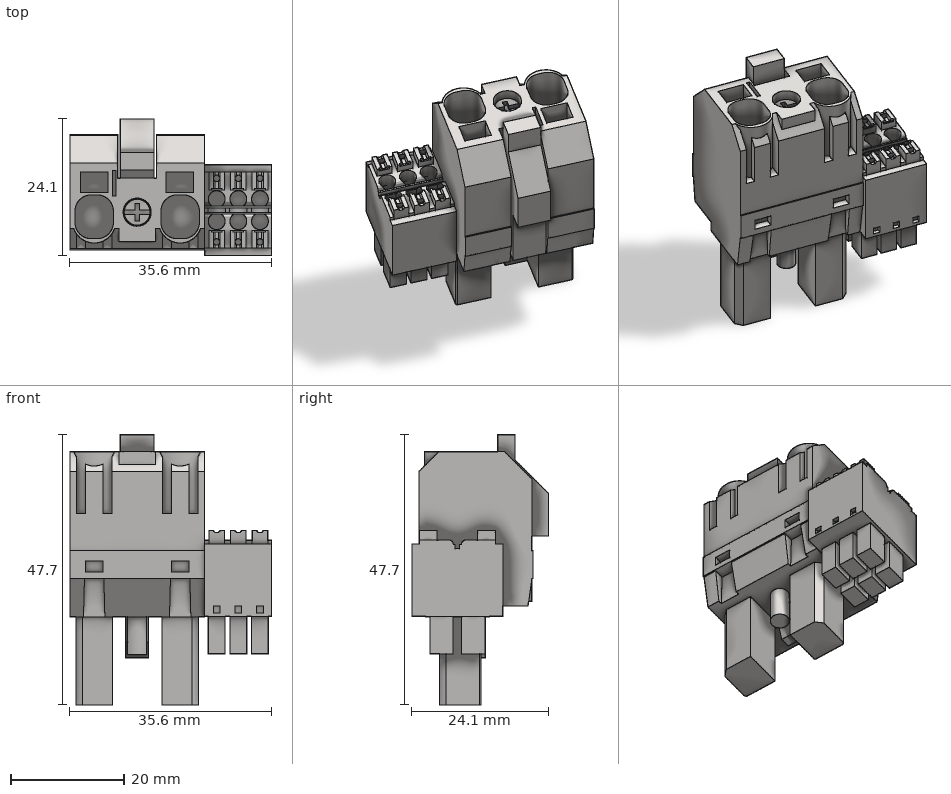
import cadquery as cq


HOUSING_LENGTH = 23.75
HOUSING_DEPTH = 19.95
HOUSING_TOP = 44.7
HOUSING_BOTTOM = 15.55
FRONT_CHAMFER = 3.55
BACK_CHAMFER = 4.8
BAND_TOP = 27.25
BAND_BOTTOM = 22.28
BAND_PROUD = 0.25
FRONT_TAPER = 1.2
BACK_TAPER = 0.65
STEP_Y = 12.45
STEP_BOTTOM = 17.45
HOUSING_MID_X = HOUSING_LENGTH / 2

POLE_OFFSET = 7.6
POLE_CENTRES = (HOUSING_MID_X - POLE_OFFSET, HOUSING_MID_X + POLE_OFFSET)

ENTRY_WIDTH = 6.75
ENTRY_DEPTH_Y = 7.75
ENTRY_CORNER = 2.85
ENTRY_MID_Y = 5.65
ENTRY_BORE_DEPTH = 14.3
COLLAR_WALL = 0.45
COLLAR_FRONT_Y = 1.0
GROOVE_SPAN = 6.2
GROOVE_RIB_WIDTH = 3.05
GROOVE_BOTTOM = 33.75

OPENING_LENGTH = 4.85
OPENING_DEPTH_Y = 3.63
OPENING_MID_Y = 11.75
OPENING_DEPTH = 9.55
OPENING_OFFSET = 7.55

SLOT_LENGTH = 0.6
SLOT_DEPTH_Y = 4.5
SLOT_MID_X = 7.8
SLOT_MID_Y = 11.55
SLOT_DEPTH = 2.4

BLOCK_WIDTH = 6.5
BLOCK_FRONT_Y = 1.3
BLOCK_HEIGHT = 2.85

WINDOW_LENGTH = 3.05
WINDOW_HEIGHT = 1.95
WINDOW_BOTTOM = 23.45
WINDOW_DEPTH = 1.45
RECESS_TOP_WIDTH = 3.45
RECESS_BOTTOM_WIDTH = 3.75
RECESS_BACK_Y = 1.9

PIN_LENGTH = 6.5
PIN_FRONT_Y = 3.63
PIN_BACK_Y = 10.95
PIN_FRONT_CHAMFER = 1.2
PIN_BACK_CHAMFER = 0.3

LATCH_WIDTH = 6.0
LATCH_GAP = 0.4
NOTCH_WIDTH = LATCH_WIDTH + 2 * LATCH_GAP
LATCH_TOP = 47.7
LATCH_FRONT_Y = 13.9
LATCH_HEAD_BACK_Y = 17.0
LATCH_SLOPE_TOP = 43.2
LATCH_BACK_Y = 22.9
LATCH_NOSE_BOTTOM = 29.8
LATCH_BOTTOM = 18.25

PEG_WIDTH = 4.05
PEG_FRONT_Y = 8.82
PEG_BACK_Y = 11.75
PEG_BOTTOM = 8.3
PEG_BEVEL_HEIGHT = 2.85
PEG_BEVEL_DEPTH = 0.95

SCREW_MID_Y = 6.45
SCREW_HOLE_RADIUS = 2.5
SCREW_HEAD_RADIUS = 2.3
SCREW_HEAD_TOP = 42.95
SCREW_HEAD_HEIGHT = 3.8
SCREW_HEAD_SEAT = SCREW_HEAD_TOP - SCREW_HEAD_HEIGHT
SHAFT_RADIUS = 1.65
SCREW_TIP = 8.85
DRIVE_SLOT_WIDTH = 0.8
DRIVE_CROSS_LENGTH = 3.05
DRIVE_DEPTH = 0.95

SIGNAL_LENGTH = 11.85
SIGNAL_FRONT_Y = -1.25
SIGNAL_BACK_Y = 14.85
SIGNAL_BOTTOM = 15.65
SIGNAL_LEDGE = 28.45
SIGNAL_TOP = 29.1
LEDGE_DEPTH = 1.35
SIGNAL_START = HOUSING_LENGTH
SIGNAL_END = SIGNAL_START + SIGNAL_LENGTH
SIGNAL_MID_Y = (SIGNAL_FRONT_Y + SIGNAL_BACK_Y) / 2
SIGNAL_PITCH = 3.8
SIGNAL_MID_X = 29.7
SIGNAL_CENTRES = [SIGNAL_MID_X + step * SIGNAL_PITCH for step in (-1, 0, 1)]

SIGNAL_ENTRY_RADIUS = 1.5
SIGNAL_ENTRY_OFFSET = 1.95
SIGNAL_ENTRY_DEPTH = 3.8

CHANNEL_WIDTH = 0.75
CHANNEL_BOTTOM = 27.55
CHANNEL_WALL = 0.35
SHOULDER_RADIUS = 0.75
CHANNEL_POCKET_LENGTH = 3.05
CHANNEL_POCKET_DEPTH = 0.25
RIDGE_WIDTH = CHANNEL_WIDTH + 2 * CHANNEL_WALL

SIGNAL_WINDOW = 1.2
SIGNAL_WINDOW_BOTTOM = 16.25
SIGNAL_WINDOW_DEPTH = 0.7

SIGNAL_PIN_LENGTH = 3.0
SIGNAL_PIN_DEPTH_Y = 4.1
SIGNAL_PIN_OFFSET = 2.8
SIGNAL_PIN_BOTTOM = 9.0

BUTTON_LENGTH = 2.75
BUTTON_TOP = 30.8
BUTTON_BOTTOM = 26.25
BUTTON_OUTER_OFFSET = (SIGNAL_BACK_Y - SIGNAL_FRONT_Y) / 2 - LEDGE_DEPTH
BUTTON_INNER_OFFSET = 3.6
BUTTON_GROOVE_TOP_WIDTH = 1.2
BUTTON_GROOVE_BOTTOM_WIDTH = 0.6
BUTTON_GROOVE_DEPTH = 0.4
BUTTON_HOLE_RADIUS = 0.55
BUTTON_HOLE_INSET = 1.1
BUTTON_HOLE_DEPTH = 1.45
BUTTON_NOTCH_LENGTH = 1.9
BUTTON_NOTCH_WIDTH = 0.3
BUTTON_NOTCH_DEPTH = 0.5


def box(x_range, y_range, z_range):
    """Axis-aligned block between the given limits."""
    return cq.Workplane("XY").box(
        x_range[1] - x_range[0],
        y_range[1] - y_range[0],
        z_range[1] - z_range[0],
        centered=False,
    ).translate((x_range[0], y_range[0], z_range[0]))


def around(middle, size):
    """Limits of a size centred on a middle."""
    return (middle - size / 2, middle + size / 2)


def side_profile(points, x_range):
    """Outline of (Y, Z) points extruded along X."""
    return (
        cq.Workplane("YZ", origin=(x_range[0], 0, 0))
        .polyline(points)
        .close()
        .extrude(x_range[1] - x_range[0])
    )


def cylinder(x, y, radius, z_range):
    """Upright cylinder between two heights."""
    return (
        cq.Workplane("XY", origin=(x, y, z_range[0]))
        .circle(radius)
        .extrude(z_range[1] - z_range[0])
    )


def make_entry_bore(middle_x):
    """Blind wire entry with a rounded-rectangle outline."""
    bore = box(
        around(middle_x, ENTRY_WIDTH),
        around(ENTRY_MID_Y, ENTRY_DEPTH_Y),
        (HOUSING_TOP - ENTRY_BORE_DEPTH, HOUSING_TOP),
    )
    return bore.edges("|Z").fillet(ENTRY_CORNER)


def make_collar(middle_x, bottom):
    """Stadium-shaped collar around a wire entry, up to the top of the housing."""
    collar_length = ENTRY_DEPTH_Y + 2 * COLLAR_WALL
    return (
        cq.Workplane("XY", origin=(middle_x, COLLAR_FRONT_Y + collar_length / 2, bottom))
        .slot2D(collar_length, ENTRY_WIDTH + 2 * COLLAR_WALL, 90)
        .extrude(HOUSING_TOP - bottom)
    )


def make_housing_block():
    outline = [
        (FRONT_TAPER, HOUSING_BOTTOM),
        (0, BAND_BOTTOM),
        (-BAND_PROUD, BAND_BOTTOM),
        (-BAND_PROUD, BAND_TOP),
        (0, BAND_TOP),
        (0, HOUSING_TOP - FRONT_CHAMFER),
        (FRONT_CHAMFER, HOUSING_TOP),
        (HOUSING_DEPTH - BACK_CHAMFER, HOUSING_TOP),
        (HOUSING_DEPTH, HOUSING_TOP - BACK_CHAMFER),
        (HOUSING_DEPTH, BAND_TOP),
        (HOUSING_DEPTH + BAND_PROUD, BAND_TOP),
        (HOUSING_DEPTH + BAND_PROUD, BAND_BOTTOM),
        (HOUSING_DEPTH, BAND_BOTTOM),
        (HOUSING_DEPTH - BACK_TAPER, STEP_BOTTOM),
        (STEP_Y, STEP_BOTTOM),
        (STEP_Y, HOUSING_BOTTOM),
    ]
    return side_profile(outline, (0, HOUSING_LENGTH))


def make_latch():
    """Lever standing in the back notch, joined to the housing by a web at its foot."""
    outline = [
        (STEP_Y, LATCH_BOTTOM),
        (STEP_Y, LATCH_NOSE_BOTTOM),
        (LATCH_FRONT_Y, LATCH_NOSE_BOTTOM),
        (LATCH_FRONT_Y, LATCH_TOP),
        (LATCH_HEAD_BACK_Y, LATCH_TOP),
        (LATCH_HEAD_BACK_Y, LATCH_SLOPE_TOP),
        (LATCH_BACK_Y, LATCH_SLOPE_TOP - (LATCH_BACK_Y - LATCH_HEAD_BACK_Y)),
        (LATCH_BACK_Y, LATCH_NOSE_BOTTOM),
        (HOUSING_DEPTH, LATCH_NOSE_BOTTOM),
        (HOUSING_DEPTH, LATCH_BOTTOM),
    ]
    return side_profile(outline, around(HOUSING_MID_X, LATCH_WIDTH))


def make_groove_cut(middle_x):
    """Pair of front grooves whose back wall follows the collar of the wire entry."""
    z_range = (GROOVE_BOTTOM, HOUSING_TOP)
    cut = box(around(middle_x, GROOVE_SPAN), (0, ENTRY_MID_Y), z_range)
    cut = cut.cut(box(around(middle_x, GROOVE_RIB_WIDTH), (0, ENTRY_MID_Y), z_range))
    return cut.cut(make_collar(middle_x, GROOVE_BOTTOM))


def make_recess_cut(middle_x):
    """Front recess below the band, slightly wider at its foot."""
    return (
        cq.Workplane("XZ", origin=(middle_x, RECESS_BACK_Y, 0))
        .polyline([
            (-RECESS_BOTTOM_WIDTH / 2, HOUSING_BOTTOM),
            (-RECESS_TOP_WIDTH / 2, BAND_BOTTOM),
            (RECESS_TOP_WIDTH / 2, BAND_BOTTOM),
            (RECESS_BOTTOM_WIDTH / 2, HOUSING_BOTTOM),
        ])
        .close()
        .extrude(RECESS_BACK_Y)
    )


def make_power_pin(middle_x):
    """Square contact sleeve, chamfered on its outer side."""
    pin = box(around(middle_x, PIN_LENGTH), (PIN_FRONT_Y, PIN_BACK_Y), (0, HOUSING_BOTTOM))
    outer = "<X" if middle_x < HOUSING_MID_X else ">X"
    pin = pin.faces(outer).edges("|Z and <Y").chamfer(PIN_FRONT_CHAMFER)
    return pin.faces(outer).edges("|Z and >Y").chamfer(PIN_BACK_CHAMFER)


def make_peg():
    """Locking peg with a beveled front foot."""
    outline = [
        (PEG_FRONT_Y, HOUSING_BOTTOM),
        (PEG_BACK_Y, HOUSING_BOTTOM),
        (PEG_BACK_Y, PEG_BOTTOM),
        (PEG_FRONT_Y + PEG_BEVEL_DEPTH, PEG_BOTTOM),
        (PEG_FRONT_Y, PEG_BOTTOM + PEG_BEVEL_HEIGHT),
    ]
    return side_profile(outline, around(HOUSING_MID_X, PEG_WIDTH))


def make_screw_hole():
    """Stepped hole that clears the screw head and fits its shaft."""
    head_hole = cylinder(HOUSING_MID_X, SCREW_MID_Y, SCREW_HOLE_RADIUS, (SCREW_HEAD_SEAT, HOUSING_TOP))
    shaft_hole = cylinder(HOUSING_MID_X, SCREW_MID_Y, SHAFT_RADIUS, (HOUSING_BOTTOM, SCREW_HEAD_SEAT))
    return head_hole.union(shaft_hole)


def make_window_cut(middle_x):
    """Rectangular window in the front of the band."""
    return box(
        around(middle_x, WINDOW_LENGTH),
        (-BAND_PROUD, WINDOW_DEPTH - BAND_PROUD),
        (WINDOW_BOTTOM, WINDOW_BOTTOM + WINDOW_HEIGHT),
    )


def make_opening_cut(side):
    """Test opening behind a wire entry; side is -1 for the left pole and 1 for the right."""
    return box(
        around(HOUSING_MID_X + side * OPENING_OFFSET, OPENING_LENGTH),
        around(OPENING_MID_Y, OPENING_DEPTH_Y),
        (HOUSING_TOP - OPENING_DEPTH, HOUSING_TOP),
    )


def make_screw_block():
    """Block in front of the screw that stands out of the front chamfer."""
    return box(
        around(HOUSING_MID_X, BLOCK_WIDTH),
        (BLOCK_FRONT_Y, SCREW_MID_Y),
        (HOUSING_TOP - BLOCK_HEIGHT, HOUSING_TOP),
    )


def make_notch_cut():
    """Notch through the back of the housing that leaves a gap on each side of the latch."""
    return box(
        around(HOUSING_MID_X, NOTCH_WIDTH),
        (STEP_Y, LATCH_BACK_Y),
        (HOUSING_BOTTOM, HOUSING_TOP),
    )


def make_marker_slot():
    """Narrow slot in the top of the housing."""
    return box(
        around(SLOT_MID_X, SLOT_LENGTH),
        around(SLOT_MID_Y, SLOT_DEPTH_Y),
        (HOUSING_TOP - SLOT_DEPTH, HOUSING_TOP),
    )


def make_power_housing():
    body = make_housing_block().union(make_screw_block())
    body = body.cut(make_notch_cut()).union(make_latch())

    for middle_x in POLE_CENTRES:
        body = body.cut(make_groove_cut(middle_x))
        body = body.union(make_collar(middle_x, HOUSING_TOP - FRONT_CHAMFER))
        body = body.cut(make_entry_bore(middle_x))
        body = body.cut(make_window_cut(middle_x))
        body = body.cut(make_recess_cut(middle_x))
        body = body.union(make_power_pin(middle_x))

    for side in (-1, 1):
        body = body.cut(make_opening_cut(side))

    body = body.cut(make_marker_slot())
    return body.union(make_peg()).cut(make_screw_hole())


def make_screw():
    """Captive screw with a slotted cross drive."""
    shaft = cylinder(HOUSING_MID_X, SCREW_MID_Y, SHAFT_RADIUS, (SCREW_TIP, SCREW_HEAD_SEAT))
    head = cylinder(HOUSING_MID_X, SCREW_MID_Y, SCREW_HEAD_RADIUS, (SCREW_HEAD_SEAT, SCREW_HEAD_TOP))
    drive_z = (SCREW_HEAD_TOP - DRIVE_DEPTH, SCREW_HEAD_TOP)
    long_slot = box(
        around(HOUSING_MID_X, 2 * SCREW_HEAD_RADIUS),
        around(SCREW_MID_Y, DRIVE_SLOT_WIDTH),
        drive_z,
    )
    cross_slot = box(
        around(HOUSING_MID_X, DRIVE_SLOT_WIDTH),
        around(SCREW_MID_Y, DRIVE_CROSS_LENGTH),
        drive_z,
    )
    return shaft.union(head).cut(long_slot).cut(cross_slot)


def make_channel_cut():
    """Channel between two thin walls, with rounded shoulders falling to the tops of the walls."""
    front_edge, back_edge = around(SIGNAL_MID_Y, RIDGE_WIDTH)
    wall_top = SIGNAL_TOP - SHOULDER_RADIUS
    shoulders = (
        cq.Workplane("YZ", origin=(SIGNAL_START, 0, 0))
        .moveTo(front_edge - SHOULDER_RADIUS, SIGNAL_TOP)
        .radiusArc((front_edge, wall_top), SHOULDER_RADIUS)
        .lineTo(back_edge, wall_top)
        .radiusArc((back_edge + SHOULDER_RADIUS, SIGNAL_TOP), SHOULDER_RADIUS)
        .close()
        .extrude(SIGNAL_LENGTH)
    )
    channel = box(
        (SIGNAL_START, SIGNAL_END),
        around(SIGNAL_MID_Y, CHANNEL_WIDTH),
        (CHANNEL_BOTTOM, wall_top),
    )
    return shoulders.union(channel)


def make_signal_entry(middle_x, side):
    """Round wire entry, flattened where it meets the wall of the channel."""
    z_range = (SIGNAL_TOP - SIGNAL_ENTRY_DEPTH, SIGNAL_TOP)
    entry = cylinder(middle_x, SIGNAL_MID_Y + side * SIGNAL_ENTRY_OFFSET, SIGNAL_ENTRY_RADIUS, z_range)
    return entry.cut(box(around(middle_x, SIGNAL_PITCH), around(SIGNAL_MID_Y, RIDGE_WIDTH), z_range))


def button_block(middle_x, side):
    """Plain block of a button; its socket has the same shape. Side -1 is the front row."""
    limits = [SIGNAL_MID_Y + side * BUTTON_INNER_OFFSET, SIGNAL_MID_Y + side * BUTTON_OUTER_OFFSET]
    return box(around(middle_x, BUTTON_LENGTH), sorted(limits), (BUTTON_BOTTOM, BUTTON_TOP))


def make_signal_housing():
    x_range = (SIGNAL_START, SIGNAL_END)
    body = box(x_range, (SIGNAL_FRONT_Y, SIGNAL_BACK_Y), (SIGNAL_BOTTOM, SIGNAL_LEDGE))
    body = body.union(
        box(
            x_range,
            (SIGNAL_FRONT_Y + LEDGE_DEPTH, SIGNAL_BACK_Y - LEDGE_DEPTH),
            (SIGNAL_BOTTOM, SIGNAL_TOP),
        )
    )
    body = body.cut(make_channel_cut())

    for middle_x in SIGNAL_CENTRES:
        body = body.cut(
            box(
                around(middle_x, CHANNEL_POCKET_LENGTH),
                around(SIGNAL_MID_Y, CHANNEL_WIDTH),
                (CHANNEL_BOTTOM - CHANNEL_POCKET_DEPTH, CHANNEL_BOTTOM),
            )
        )
        body = body.cut(
            box(
                around(middle_x, SIGNAL_WINDOW),
                (SIGNAL_FRONT_Y, SIGNAL_FRONT_Y + SIGNAL_WINDOW_DEPTH),
                (SIGNAL_WINDOW_BOTTOM, SIGNAL_WINDOW_BOTTOM + SIGNAL_WINDOW),
            )
        )
        for side in (-1, 1):
            body = body.cut(make_signal_entry(middle_x, side))
            body = body.cut(button_block(middle_x, side))
            body = body.union(
                box(
                    around(middle_x, SIGNAL_PIN_LENGTH),
                    around(SIGNAL_MID_Y + side * SIGNAL_PIN_OFFSET, SIGNAL_PIN_DEPTH_Y),
                    (SIGNAL_PIN_BOTTOM, SIGNAL_BOTTOM),
                )
            )
    return body


def make_button(middle_x, side):
    """Release button with a tapered groove, a tool hole and a notch at its inner end."""
    button = button_block(middle_x, side)
    groove = (
        cq.Workplane("XZ", origin=(middle_x, SIGNAL_BACK_Y, BUTTON_TOP))
        .polyline([
            (-BUTTON_GROOVE_TOP_WIDTH / 2, 0),
            (-BUTTON_GROOVE_BOTTOM_WIDTH / 2, -BUTTON_GROOVE_DEPTH),
            (BUTTON_GROOVE_BOTTOM_WIDTH / 2, -BUTTON_GROOVE_DEPTH),
            (BUTTON_GROOVE_TOP_WIDTH / 2, 0),
        ])
        .close()
        .extrude(SIGNAL_BACK_Y - SIGNAL_FRONT_Y)
    )
    hole = cylinder(
        middle_x,
        SIGNAL_MID_Y + side * (BUTTON_OUTER_OFFSET - BUTTON_HOLE_INSET),
        BUTTON_HOLE_RADIUS,
        (BUTTON_TOP - BUTTON_HOLE_DEPTH, BUTTON_TOP),
    )
    notch = box(
        around(middle_x, BUTTON_NOTCH_LENGTH),
        around(SIGNAL_MID_Y + side * BUTTON_INNER_OFFSET, 2 * BUTTON_NOTCH_WIDTH),
        (BUTTON_TOP - BUTTON_NOTCH_DEPTH, BUTTON_TOP),
    )
    return button.cut(groove).cut(hole).cut(notch)


power_housing = make_power_housing()
screw = make_screw()
signal_housing = make_signal_housing()
buttons = [make_button(middle_x, side) for middle_x in SIGNAL_CENTRES for side in (-1, 1)]

result = cq.Compound.makeCompound([
    power_housing.val(),
    screw.val(),
    signal_housing.val(),
    *[button.val() for button in buttons],
])